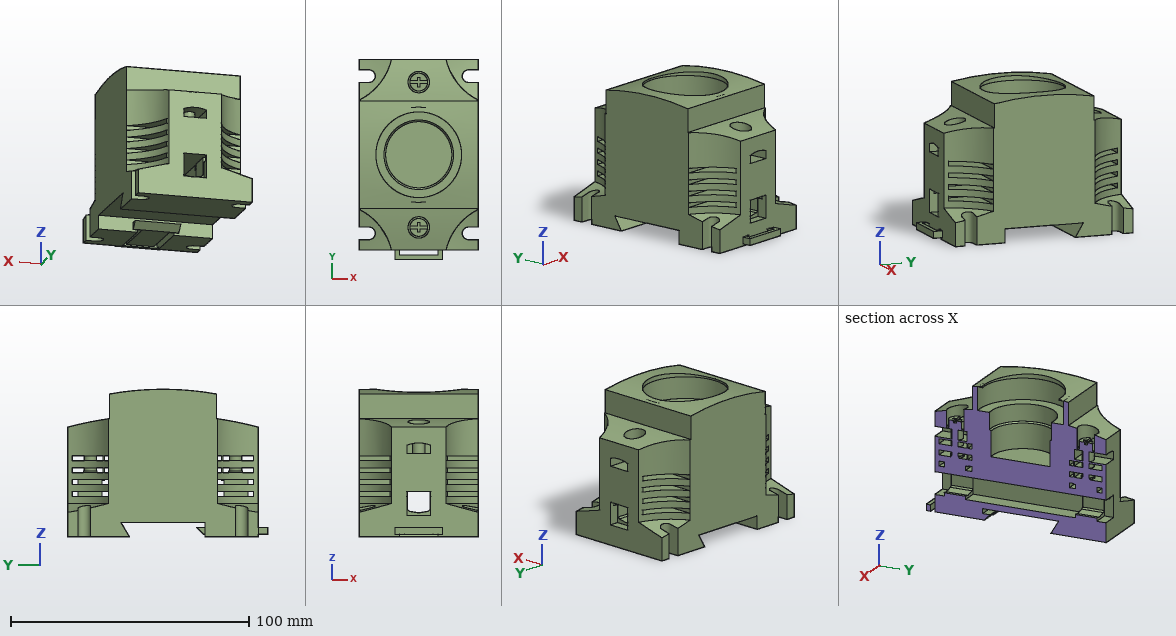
import cadquery as cq
import math

width = 50.0
length = 80.0
half_width = width / 2
half_length = length / 2

block_length = 45.0
block_edge_height = 60.0
block_crown_height = 62.0

wing_end_height = 46.1
wing_crown_height = 51.3

corner_radius = 25.5
corner_center_x = 36.3
corner_center_y = 45.8
foot_height = 14.0
foot_slope = math.radians(16)

mount_slot_width = 5.2
mount_slot_depth = 6.7
mount_slot_y = 33.0

mouth_radius = 18.0
chamber_radius = 20.0
chamber_ceiling = 60.0
chamber_floor = 49.7
well_radius = 14.6
well_taper_top = 42.0
well_taper_height = 0.6
well_floor_radius = 13.9
well_floor = 30.0

vent_tops = [34.0, 29.0, 24.0, 19.0]
vent_height = 2.0
vent_block_gap = 0.4
vent_end_wall = 2.0
vent_inner_y = block_length / 2 + vent_block_gap
vent_outer_y = half_length - vent_end_wall

screw_y = 30.5
screw_hole_diameter = 9.0
screw_hole_floor = 40.0
head_diameter = 7.5
head_top = 43.4
drive_depth = 1.0
drive_long_width = 1.15
drive_short_width = 0.85
drive_short_length = 4.0
shaft_diameter = 5.2
shaft_collar_diameter = 5.8
shaft_collar_top = 27.7

clamp_width = 12.0
clamp_top = 24.0
clamp_inner_y = 25.6
clamp_outer_y = 35.7
clamp_opening_width = 9.4
clamp_valley_height = 10.1
clamp_shoulder_height = 10.8
clamp_corner_chamfer = 0.7
strip_inner_y = 24.5
strip_thickness = 0.7
strip_foot_height = 23.7
strip_foot_thickness = 0.4

window_width = 10.0
wire_window_bottom = 9.0
wire_window_top = 19.0
sight_window_bottom = 35.0
sight_window_side_top = 38.5
sight_window_top = 39.4

groove_height = 6.0
groove_half_width = 17.6
groove_hook_y = 14.0

latch_width = 20.0
latch_opening_width = 16.0
latch_guide_width = 12.0
latch_bottom = 1.0
latch_top = 4.0
latch_reach = 4.0
latch_bar = 2.0
latch_tip_y = 14.0


def box(x_range, y_range, z_range):
    """Axis-aligned box from (low, high) pairs."""
    sizes = [high - low for low, high in (x_range, y_range, z_range)]
    corner = (x_range[0], y_range[0], z_range[0])
    return cq.Workplane("XY").box(*sizes, centered=False).translate(corner)


def centered_box(x_size, y_range, z_range):
    return box((-x_size / 2, x_size / 2), y_range, z_range)


def vertical_cylinder(diameter, y, bottom, top):
    return cq.Workplane("XY", origin=(0, y, bottom)).circle(diameter / 2).extrude(top - bottom)


def both_ends(shape):
    """The shape together with its mirror image at the other Y end."""
    return shape.union(shape.mirror("XZ"))


def crowned_body(body_length, edge_height, crown_height):
    """Full-width body whose top is an arc in the YZ plane."""
    half = body_length / 2
    return (
        cq.Workplane("YZ")
        .moveTo(-half, 0)
        .lineTo(-half, edge_height)
        .threePointArc((0, crown_height), (half, edge_height))
        .lineTo(half, 0)
        .close()
        .extrude(half_width, both=True)
    )


def corner_recesses():
    """Four upright round cutters with a conical underside, one per corner."""
    tip_height = foot_height - corner_radius * math.tan(foot_slope)
    cutter = (
        cq.Workplane("XZ")
        .moveTo(0, tip_height)
        .lineTo(corner_radius, foot_height)
        .lineTo(corner_radius, block_crown_height)
        .lineTo(0, block_crown_height)
        .close()
        .revolve(360, (0, 0, 0), (0, 1, 0))
        .translate((corner_center_x, -corner_center_y, 0))
    )
    return both_ends(cutter.union(cutter.mirror("YZ")))


def mounting_slots():
    radius = mount_slot_width / 2
    slot_end_x = half_width - mount_slot_depth
    slot = (
        cq.Workplane("XY")
        .moveTo(half_width, -mount_slot_y - radius)
        .lineTo(slot_end_x + radius, -mount_slot_y - radius)
        .threePointArc((slot_end_x, -mount_slot_y), (slot_end_x + radius, -mount_slot_y + radius))
        .lineTo(half_width, -mount_slot_y + radius)
        .close()
        .extrude(foot_height)
    )
    return both_ends(slot.union(slot.mirror("YZ")))


def central_opening():
    """Round mouth, wider chamber and a well that tapers to a smaller floor."""
    return (
        cq.Workplane("XZ")
        .moveTo(0, well_floor)
        .lineTo(well_floor_radius, well_floor)
        .lineTo(well_floor_radius, well_taper_top - well_taper_height)
        .lineTo(well_radius, well_taper_top)
        .lineTo(well_radius, chamber_floor)
        .lineTo(chamber_radius, chamber_floor)
        .lineTo(chamber_radius, chamber_ceiling)
        .lineTo(mouth_radius, chamber_ceiling)
        .lineTo(mouth_radius, block_crown_height)
        .lineTo(0, block_crown_height)
        .close()
        .revolve(360, (0, 0, 0), (0, 1, 0))
    )


def screw_shaft():
    shaft = vertical_cylinder(shaft_diameter, -screw_y, foot_height, screw_hole_floor)
    collar = vertical_cylinder(shaft_collar_diameter, -screw_y, foot_height, shaft_collar_top)
    return shaft.union(collar)


def screw_head():
    """Screw head with a cross drive: one slot right across, one short."""
    drive_heights = (head_top - drive_depth, head_top)
    long_half = drive_long_width / 2
    short_half = drive_short_length / 2
    long_slot = centered_box(head_diameter, (-screw_y - long_half, -screw_y + long_half), drive_heights)
    short_slot = centered_box(
        drive_short_width, (-screw_y - short_half, -screw_y + short_half), drive_heights
    )
    head = vertical_cylinder(head_diameter, -screw_y, screw_hole_floor, head_top)
    return head.cut(long_slot).cut(short_slot)


def contact_strip():
    """Thin upright strip behind the screw, with a foot reaching to the clamp."""
    strip_front = -strip_inner_y - strip_thickness
    upright = centered_box(
        window_width, (strip_front, -strip_inner_y), (strip_foot_height, sight_window_bottom)
    )
    foot = centered_box(
        window_width,
        (-clamp_inner_y, -strip_inner_y),
        (strip_foot_height, strip_foot_height + strip_foot_thickness),
    )
    return upright.union(foot)


def cooling_slots():
    """Slots across a wing, interrupted by the screw, the clamp and the strip."""
    slots = cq.Workplane("XY")
    for top in vent_tops:
        slots = slots.union(
            centered_box(width, (-vent_outer_y, -vent_inner_y), (top - vent_height, top))
        )
    clamp = centered_box(clamp_width, (-clamp_outer_y, -clamp_inner_y), (0, clamp_top))
    return both_ends(slots.cut(screw_shaft()).cut(clamp).cut(contact_strip()))


def clamp_opening():
    """Prism along Y with a shallow V bottom and chamfered corners, as deep as the clamp."""
    half = clamp_opening_width / 2
    shoulder = half - clamp_corner_chamfer
    side_bottom = clamp_shoulder_height + clamp_corner_chamfer
    return (
        cq.Workplane("XZ", origin=(0, -clamp_inner_y, 0))
        .moveTo(-half, wire_window_top)
        .lineTo(-half, side_bottom)
        .lineTo(-shoulder, clamp_shoulder_height)
        .lineTo(0, clamp_valley_height)
        .lineTo(shoulder, clamp_shoulder_height)
        .lineTo(half, side_bottom)
        .lineTo(half, wire_window_top)
        .close()
        .extrude(clamp_outer_y - clamp_inner_y)
    )


def wire_passage():
    """Passage through the whole length, narrowed inside the two clamps."""
    heights = (wire_window_bottom, wire_window_top)
    entry = centered_box(window_width, (-half_length, -clamp_outer_y), heights)
    middle = centered_box(window_width, (-clamp_inner_y, clamp_inner_y), heights)
    return both_ends(entry.union(clamp_opening())).union(middle)


def sight_windows():
    """Arched window in each end face, open back to the contact strip."""
    half = window_width / 2
    strip_front = strip_inner_y + strip_thickness
    window = (
        cq.Workplane("XZ", origin=(0, -strip_front, 0))
        .moveTo(-half, sight_window_bottom)
        .lineTo(-half, sight_window_side_top)
        .threePointArc((0, sight_window_top), (half, sight_window_side_top))
        .lineTo(half, sight_window_bottom)
        .close()
        .extrude(half_length - strip_front)
    )
    return both_ends(window.cut(screw_shaft()))


def rail_groove():
    """Groove across the mounting face, undercut on its +Y side."""
    return (
        cq.Workplane("YZ")
        .moveTo(-groove_half_width, 0)
        .lineTo(-groove_half_width, groove_height)
        .lineTo(groove_half_width, groove_height)
        .lineTo(groove_hook_y, 0)
        .close()
        .extrude(half_width, both=True)
    )


def latch():
    """Rail latch: pull loop outside the end face and a wedge in the groove."""
    heights = (latch_bottom, latch_top)
    loop = centered_box(latch_width, (-half_length - latch_reach, -half_length), heights)
    loop_hole = centered_box(
        latch_opening_width, (-half_length - latch_reach + latch_bar, -half_length), heights
    )
    wedge = (
        cq.Workplane("YZ")
        .moveTo(-groove_half_width, latch_bottom)
        .lineTo(-groove_half_width, latch_top)
        .lineTo(-latch_tip_y, latch_top)
        .lineTo(-latch_tip_y - (latch_top - latch_bottom), latch_bottom)
        .close()
        .extrude(latch_width / 2, both=True)
    )
    return loop.cut(loop_hole).union(wedge)


def latch_clearance():
    """Shallow channel under the latch, with taller gaps between its arms and a central guide."""
    depth = (-half_length, -groove_half_width)
    channel = centered_box(latch_opening_width, depth, (0, latch_bottom))
    gaps = centered_box(latch_opening_width, depth, (latch_bottom, latch_top))
    guide = centered_box(latch_guide_width, depth, (latch_bottom, latch_top))
    return channel.union(gaps.cut(guide))


screw_holes = both_ends(
    vertical_cylinder(screw_hole_diameter, -screw_y, screw_hole_floor, wing_crown_height)
)

wings = crowned_body(length, wing_end_height, wing_crown_height)
block = crowned_body(block_length, block_edge_height, block_crown_height)

result = (
    wings.cut(corner_recesses())
    .cut(mounting_slots())
    .cut(screw_holes)
    .cut(cooling_slots())
    .cut(sight_windows())
    .union(block)
    .cut(central_opening())
    .cut(wire_passage())
    .cut(rail_groove())
    .cut(latch_clearance())
    .union(both_ends(screw_head()))
    .union(latch())
)